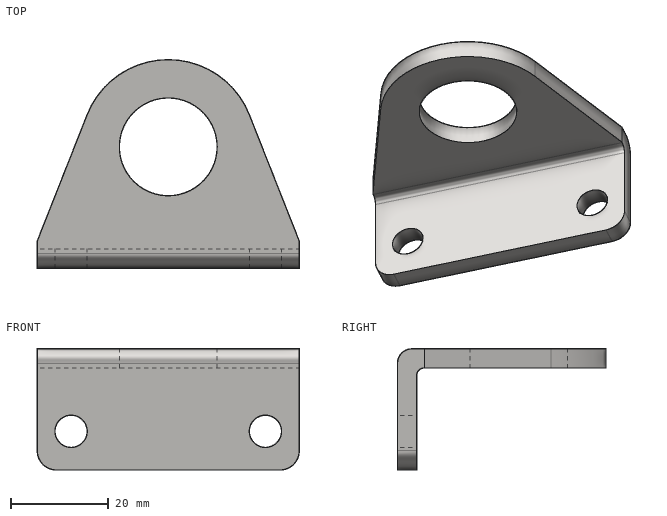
import cadquery as cq
import math

width = 54.0
depth = 43.0
height = 25.0
thickness = 4.0

outer_bend_radius = 3.0
inner_bend_radius = 1.5

nose_radius = 18.0
straight_side_length = 5.6
large_hole_diameter = 20.1
nose_center_y = depth - nose_radius

corner_radius = 4.0
mounting_hole_diameter = 6.6
mounting_hole_spacing = 40.0
mounting_hole_height = 8.0


def make_angle():
    """Full-width L section with a rounded bend."""
    section = (
        cq.Workplane("YZ")
        .polyline([
            (0, 0),
            (depth, 0),
            (depth, -thickness),
            (thickness, -thickness),
            (thickness, -height),
            (0, -height),
        ])
        .close()
        .extrude(width / 2, both=True)
    )
    outer_edge = cq.selectors.NearestToPointSelector((0, 0, 0))
    inner_edge = cq.selectors.NearestToPointSelector((0, thickness, -thickness))
    section = section.edges("|X").edges(outer_edge).fillet(outer_bend_radius)
    return section.edges("|X").edges(inner_edge).fillet(inner_bend_radius)


def make_plan_outline():
    """Prism whose tapered sides run tangent into the round nose."""
    half_width = width / 2
    drop = nose_center_y - straight_side_length
    corner_distance = math.hypot(half_width, drop)
    tangent_angle = math.acos(nose_radius / corner_distance) - math.atan2(drop, half_width)
    tangent_x = nose_radius * math.cos(tangent_angle)
    tangent_y = nose_center_y + nose_radius * math.sin(tangent_angle)
    return (
        cq.Workplane("XY")
        .moveTo(-half_width, 0)
        .lineTo(half_width, 0)
        .lineTo(half_width, straight_side_length)
        .lineTo(tangent_x, tangent_y)
        .threePointArc((0, depth), (-tangent_x, tangent_y))
        .lineTo(-half_width, straight_side_length)
        .close()
        .extrude(-height)
    )


def make_large_hole():
    return (
        cq.Workplane("XY")
        .center(0, nose_center_y)
        .circle(large_hole_diameter / 2)
        .extrude(-thickness)
    )


def make_mounting_holes():
    hole_z = mounting_hole_height - height
    return (
        cq.Workplane("XZ")
        .pushPoints([(side * mounting_hole_spacing / 2, hole_z) for side in (-1, 1)])
        .circle(mounting_hole_diameter / 2)
        .extrude(-thickness)
    )


bracket = make_angle().intersect(make_plan_outline())

bracket = bracket.faces("<Z").edges("|Y").fillet(corner_radius)

result = bracket.cut(make_large_hole()).cut(make_mounting_holes())